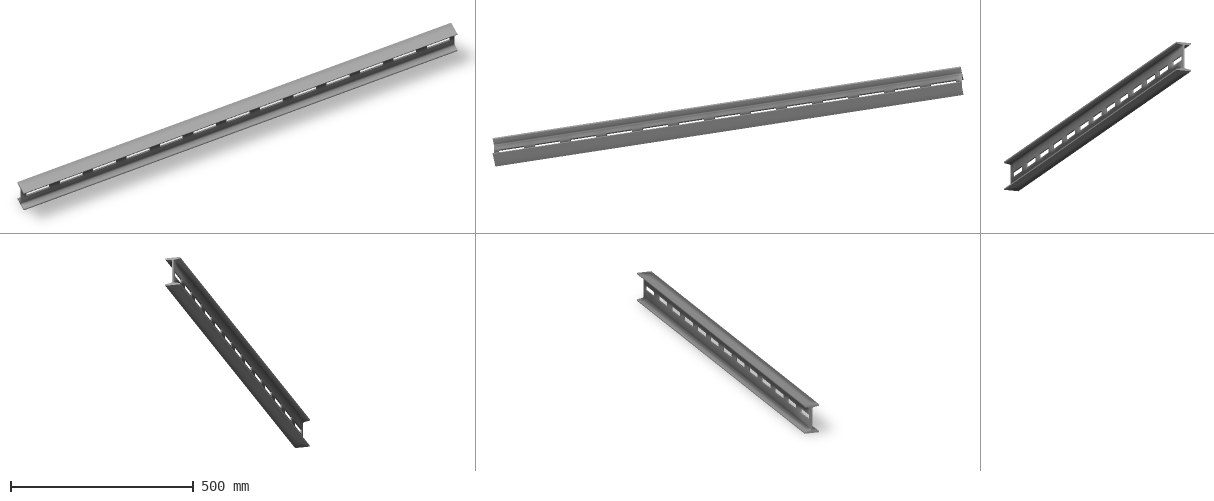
import cadquery as cq

length = 1300.0
height = 80.0
flange_width = 42.0
web_thickness = 3.9
flange_thickness = 5.75
flange_slope = 0.14
root_radius = web_thickness
toe_radius = 2.3

slot_pitch = 100.0
slot_count = 13
slot_length = 70.0
slot_height = 14.0
slot_row_shift = 1.5


def flange_depth(x):
    """Flange thickness at distance x from the web axis, before rounding."""
    return flange_thickness + flange_slope * (flange_width / 4 - x)


def round_long_edges(body, places, radius):
    """Fillet the lengthwise edges that pass through the given (x, z) places."""
    for x, z in places:
        body = body.edges(cq.selectors.NearestToPointSelector((x, 0, z))).fillet(radius)
    return body


def make_beam():
    """I-section extruded along Y, with rounded web roots and flange toes."""
    half_width = flange_width / 2
    half_height = height / 2
    half_web = web_thickness / 2
    toe_z = half_height - flange_depth(half_width)
    root_z = half_height - flange_depth(half_web)

    upper_right = [(half_web, root_z), (half_width, toe_z), (half_width, half_height)]
    upper_left = [(-x, z) for x, z in reversed(upper_right)]
    upper = upper_right + upper_left
    lower = [(-x, -z) for x, z in upper]
    beam = cq.Workplane("XZ").polyline(upper + lower).close().extrude(length / 2, both=True)

    roots = [(x, z) for x in (-half_web, half_web) for z in (-root_z, root_z)]
    toes = [(x, z) for x in (-half_width, half_width) for z in (-toe_z, toe_z)]
    beam = round_long_edges(beam, roots, root_radius)
    return round_long_edges(beam, toes, toe_radius)


def make_slots():
    """Evenly spaced rectangular cutters that pass through the web."""
    return (
        cq.Workplane("YZ")
        .center(slot_row_shift, 0)
        .rarray(slot_pitch, 1, slot_count, 1)
        .rect(slot_length, slot_height)
        .extrude(web_thickness, both=True)
    )


result = make_beam().cut(make_slots())